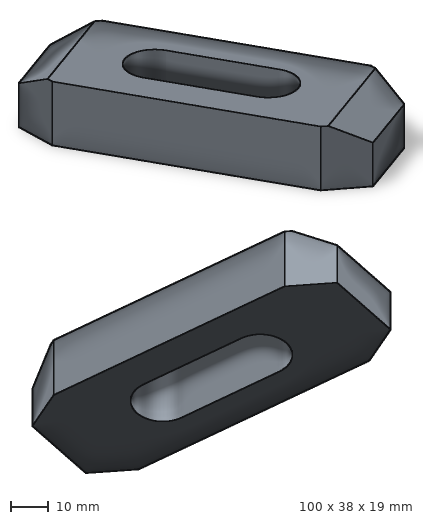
import cadquery as cq
import math

LENGTH = 100.0
WIDTH = 38.0
HEIGHT = 19.0

TAPER_ANGLE = 30.0
END_FACE_WIDTH = 24.0
END_FACE_HEIGHT = 13.0

SLOT_LENGTH = 49.0
SLOT_WIDTH = 17.0

taper_slope = math.tan(math.radians(TAPER_ANGLE))
corner_run = (WIDTH - END_FACE_WIDTH) / 2 / taper_slope
bevel_run = (HEIGHT - END_FACE_HEIGHT) / taper_slope

half_length = LENGTH / 2
half_width = WIDTH / 2


def plan_body():
    """Block with its four vertical corners cut off, standing on Z = 0."""
    half_end = END_FACE_WIDTH / 2
    corner_x = half_length - corner_run
    outline = [
        (-half_length, -half_end),
        (-corner_x, -half_width),
        (corner_x, -half_width),
        (half_length, -half_end),
        (half_length, half_end),
        (corner_x, half_width),
        (-corner_x, half_width),
        (-half_length, half_end),
    ]
    return cq.Workplane("XY").polyline(outline).close().extrude(HEIGHT)


def side_envelope():
    """Side profile with bevelled top ends, extruded across the full width."""
    bevel_x = half_length - bevel_run
    profile = [
        (-half_length, 0),
        (half_length, 0),
        (half_length, END_FACE_HEIGHT),
        (bevel_x, HEIGHT),
        (-bevel_x, HEIGHT),
        (-half_length, END_FACE_HEIGHT),
    ]
    return cq.Workplane("XZ").polyline(profile).close().extrude(half_width, both=True)


def clamping_slot():
    """Round-ended slot along X through the centre of the block."""
    return cq.Workplane("XY").slot2D(SLOT_LENGTH, SLOT_WIDTH).extrude(HEIGHT)


result = plan_body().intersect(side_envelope()).cut(clamping_slot())